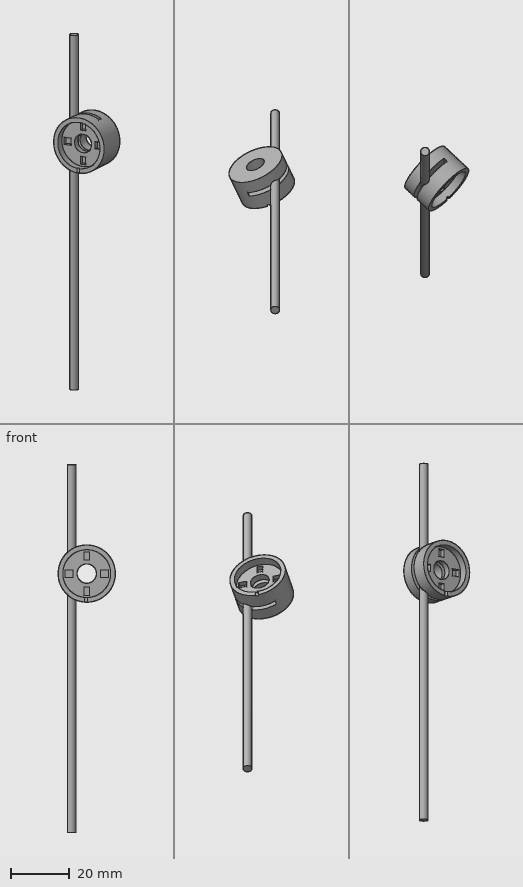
import cadquery as cq

ring_diameter = 19.5
ring_width = 11.4
bore_diameter = 6.5
front_y = -ring_width / 2

recess_diameter = 16.2
recess_depth = 3.0
recess_floor_y = front_y + recess_depth
notch_diameter = 1.0
notch_x = -0.2

pocket_radius = 6.0
pocket_length = 2.8
side_pocket_width = 2.5
end_pocket_width = 2.0
pocket_depth = 1.6

slot_width = 1.5
slot_y = 0.5
slot_end_x = 4.8

rod_diameter = 3.0
rod_length = 125.0
rod_top_z = 37.0
rod_x = -5.1


def cylinder_along_y(diameter, start_y, length):
    """Cylinder on the bore axis, running from start_y towards +Y."""
    plane = cq.Workplane("XZ", origin=(0, start_y, 0))
    return plane.circle(diameter / 2).extrude(-length)


def make_rod():
    """Plain round rod; the same shape also cuts its hole in the ring."""
    plane = cq.Workplane("XY", origin=(rod_x, slot_y, rod_top_z))
    return plane.circle(rod_diameter / 2).extrude(-rod_length)


def make_slot():
    """Flat slot through the full height of the ring, ending at slot_end_x."""
    slot_length = slot_end_x + ring_diameter / 2
    slot = cq.Workplane("XY").box(slot_length, slot_width, ring_diameter)
    return slot.translate((slot_end_x - slot_length / 2, slot_y, 0))


def make_pockets(size_x, size_z, centres):
    """Equal rectangular pockets sunk from the recess floor."""
    plane = cq.Workplane("XZ", origin=(0, recess_floor_y, 0))
    return plane.pushPoints(centres).rect(size_x, size_z).extrude(-pocket_depth)


def make_notch():
    """Half-round radial groove across the front rim at the bottom of the ring."""
    plane = cq.Workplane("XY", origin=(notch_x, front_y, 0))
    notch = plane.circle(notch_diameter / 2).extrude(-ring_diameter / 2)
    return notch.cut(cylinder_along_y(recess_diameter, front_y, recess_depth))


def make_ring():
    ring = cylinder_along_y(ring_diameter, front_y, ring_width)
    ring = ring.cut(cylinder_along_y(bore_diameter, front_y, ring_width))
    ring = ring.cut(cylinder_along_y(recess_diameter, front_y, recess_depth))
    side_centres = [(-pocket_radius, 0), (pocket_radius, 0)]
    end_centres = [(0, -pocket_radius), (0, pocket_radius)]
    ring = ring.cut(make_pockets(pocket_length, side_pocket_width, side_centres))
    ring = ring.cut(make_pockets(end_pocket_width, pocket_length, end_centres))
    ring = ring.cut(make_notch())
    ring = ring.cut(make_slot())
    return ring.cut(make_rod())


ring = make_ring()
rod = make_rod()
result = cq.Compound.makeCompound([ring.val(), rod.val()])